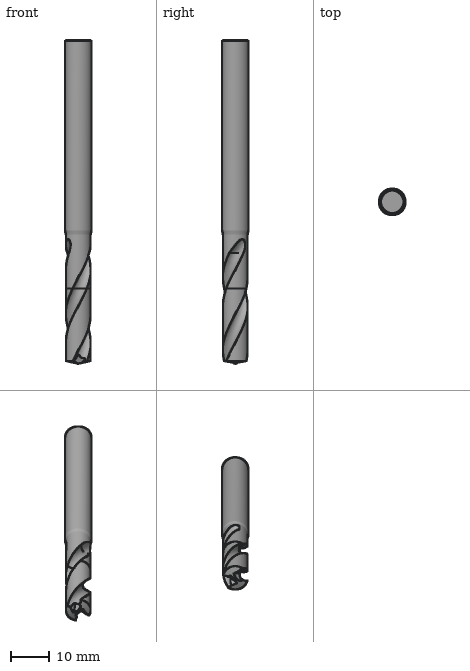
import cadquery as cq
import math

total_length = 85.0
shank_diameter = 7.0
drill_diameter = 6.55
shank_radius = shank_diameter / 2
drill_radius = drill_diameter / 2

cutting_length = 19.8
point_height = 0.8
neck_top = 33.9
shoulder_top = 34.9
chamfer_height = 0.3
chamfer_width = 0.5

flute_count = 2
flute_pitch = 38.25
flute_end = 29.1
flute_end_angle = 186.0
flute_width = 3.7
web_radius = 1.2
runout_height = 6.8
runout_lift = 0.4
runout_drift = 0.68

opening_distance = math.sqrt(drill_radius**2 - (flute_width / 2)**2)
flute_depth = opening_distance - web_radius
flute_radius = ((flute_width / 2)**2 + flute_depth**2) / (2 * flute_depth)
flute_offset = web_radius + flute_radius
flute_twist = 360 * flute_end / flute_pitch

gash_start = 0.25
gash_rise = 2.0
gash_inner_side = 0.85
gash_outer_side = 1.4
gash_lean = 30.0


def make_helical_flute(angle):
    """Twisted cutter from the point up to the end of the helix."""
    return (
        cq.Workplane("XY")
        .moveTo(flute_offset, 0)
        .circle(flute_radius)
        .twistExtrude(flute_end, flute_twist)
        .rotate((0, 0, 0), (0, 0, 1), angle - flute_twist)
    )


def make_runout(angle):
    """Slanted cutter that carries the flute section out of the neck."""
    section = cq.Workplane("XY").moveTo(flute_offset, 0).circle(flute_radius).wires().val()
    travel = cq.Vector(runout_lift, runout_drift, 1) * runout_height
    cutter = cq.Solid.extrudeLinear(section, [], travel)
    return (
        cq.Workplane(cutter)
        .translate((0, 0, flute_end))
        .rotate((0, 0, 0), (0, 0, 1), angle)
    )


def make_gash(angle):
    """Leaning wedge below a steep plane, deepening away from the axis."""
    return (
        cq.Workplane("XZ", origin=(0, gash_inner_side, 0))
        .moveTo(gash_start, 0)
        .lineTo(web_radius, gash_rise)
        .lineTo(drill_radius, gash_rise)
        .lineTo(drill_radius, -gash_rise)
        .lineTo(gash_start, -gash_rise)
        .close()
        .extrude(gash_inner_side + gash_outer_side)
        .rotate((0, 0, 0), (1, 0, 0), -gash_lean)
        .rotate((0, 0, 0), (0, 0, 1), angle - flute_twist)
    )


flute_angles = [flute_end_angle + i * 360 / flute_count for i in range(flute_count)]


def make_cutting_head():
    head = (
        cq.Workplane("XZ")
        .lineTo(drill_radius, point_height)
        .lineTo(drill_radius, cutting_length)
        .lineTo(0, cutting_length)
        .close()
        .revolve(360, (0, 0, 0), (0, 1, 0))
    )
    for angle in flute_angles:
        head = head.cut(make_helical_flute(angle)).cut(make_gash(angle))
    return head


def make_shank():
    shank = (
        cq.Workplane("XZ")
        .moveTo(0, cutting_length)
        .lineTo(drill_radius, cutting_length)
        .lineTo(drill_radius, neck_top)
        .lineTo(shank_radius, shoulder_top)
        .lineTo(shank_radius, total_length - chamfer_height)
        .lineTo(shank_radius - chamfer_width, total_length)
        .lineTo(0, total_length)
        .close()
        .revolve(360, (0, 0, 0), (0, 1, 0))
    )
    for angle in flute_angles:
        shank = shank.cut(make_helical_flute(angle)).cut(make_runout(angle))
    return shank


cutting_head = make_cutting_head()
shank = make_shank()

result = cq.Compound.makeCompound([cutting_head.solids().val(), shank.solids().val()])